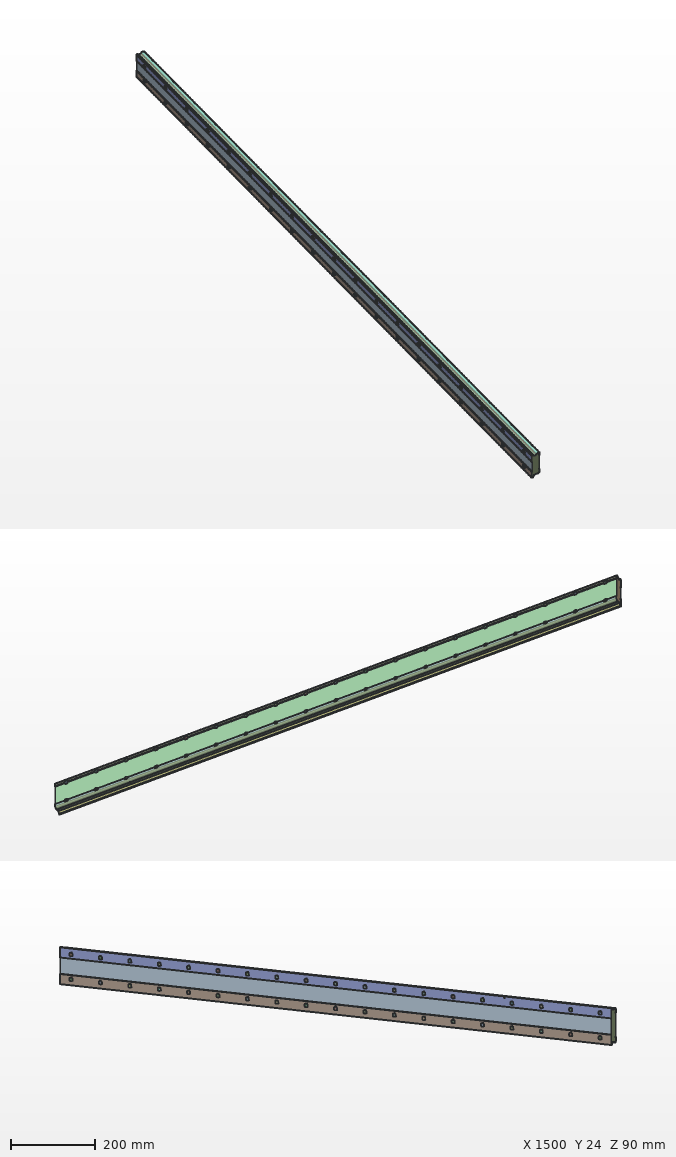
import cadquery as cq
import math

length = 1500.0
thickness = 24.0
height = 90.0
half_height = height / 2
front_y = -thickness / 2
back_y = thickness / 2

flange_thickness = 7.4
flange_wall_angle = math.radians(60)
flange_chamfer = 1.0

front_recess_height = 40.0
back_recess_height = 60.0
recess_depth = 1.0

groove_depth = 6.0
groove_fillet = 2.0

bead_radius = 5.2
bead_drop = 3.3

hole_diameter = 9.0
hole_end_margin = 30.0
holes_per_row = 19
row_spacing = 60.0
hole_pitch = (length - 2 * hole_end_margin) / (holes_per_row - 1)


def point_on_circle(centre, radius, angle):
    """Point (y, z) at an angle measured from +Y toward +Z."""
    return (centre[0] + radius * math.cos(angle), centre[1] + radius * math.sin(angle))


def upper_half():
    """Half of the rail above the plane Z = 0."""
    groove_floor_z = half_height - groove_depth
    flange_foot_y = front_y + flange_thickness
    flange_top_y = flange_foot_y - groove_depth / math.tan(flange_wall_angle)

    bead_centre = (back_y - bead_radius, half_height - bead_drop - bead_radius)
    fillet_z = groove_floor_z + groove_fillet
    centre_distance = bead_radius + groove_fillet
    fillet_angle = math.pi - math.asin((fillet_z - bead_centre[1]) / centre_distance)
    fillet_centre = point_on_circle(bead_centre, centre_distance, fillet_angle)

    floor_angle = -math.pi / 2
    bead_contact_angle = fillet_angle - math.pi
    fillet_mid = point_on_circle(fillet_centre, groove_fillet, (floor_angle + bead_contact_angle) / 2)
    fillet_end = point_on_circle(bead_centre, bead_radius, fillet_angle)
    bead_mid = point_on_circle(bead_centre, bead_radius, fillet_angle / 2)
    bead_end = (back_y, bead_centre[1])

    front_recess_y = front_y + recess_depth
    back_recess_y = back_y - recess_depth
    return (
        cq.Workplane("YZ")
        .moveTo(front_recess_y, 0)
        .lineTo(front_recess_y, front_recess_height / 2 - recess_depth)
        .lineTo(front_y, front_recess_height / 2)
        .lineTo(front_y, half_height - flange_chamfer)
        .lineTo(front_y + flange_chamfer, half_height)
        .lineTo(flange_top_y, half_height)
        .lineTo(flange_foot_y, groove_floor_z)
        .lineTo(fillet_centre[0], groove_floor_z)
        .threePointArc(fillet_mid, fillet_end)
        .threePointArc(bead_mid, bead_end)
        .lineTo(back_y, back_recess_height / 2)
        .lineTo(back_recess_y, back_recess_height / 2 - recess_depth)
        .lineTo(back_recess_y, 0)
        .close()
        .extrude(length / 2, both=True)
    )


def mounting_holes():
    """Cylinders along Y, long enough to pass right through the rail."""
    return (
        cq.Workplane("XZ")
        .rarray(hole_pitch, row_spacing, holes_per_row, 2)
        .circle(hole_diameter / 2)
        .extrude(thickness, both=True)
    )


half_rail = upper_half()
rail = half_rail.union(half_rail.mirror("XY")).clean()
result = rail.cut(mounting_holes())